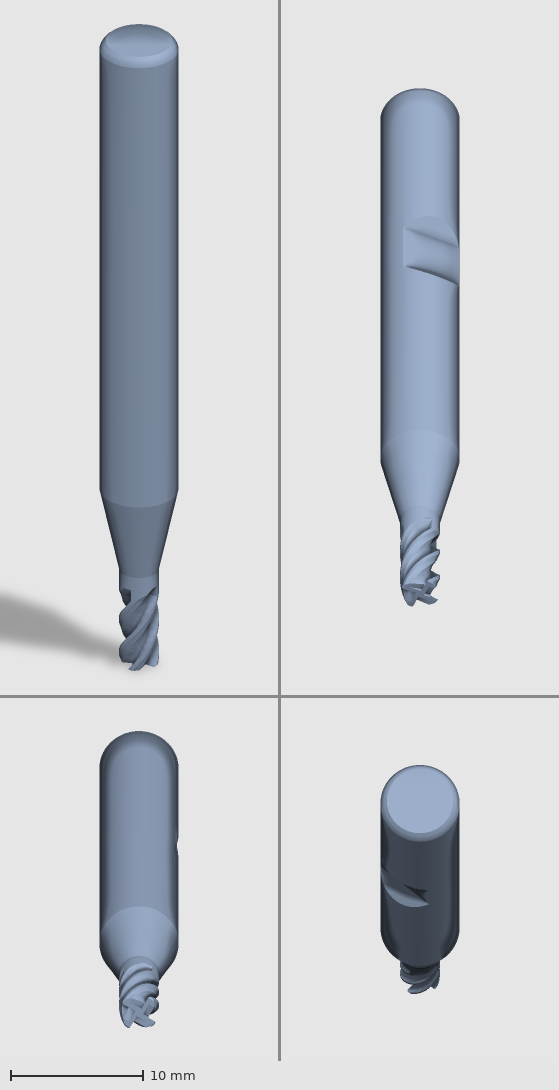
import cadquery as cq
import math

total_length = 54.0
shank_diameter = 6.0
cutter_diameter = 3.0
shank_radius = shank_diameter / 2
cutter_radius = cutter_diameter / 2

cone_bottom = 8.15
cone_top = 15.1
end_rounding_height = 0.7
end_rounding_depth = 0.5
end_rounding_bulge = 0.05

flat_depth = 1.15
flat_length = 4.4
flat_middle = 36.0

flute_count = 4
helix_angle = 40.0
core_radius = 0.85
land_angle = 14.0
relief_angle = 36.0
relief_radius = 1.3
first_edge_angle = -4.0
helix_length = 6.05
runout_height = 0.95
runout_rise = 0.65
corner_chamfer = 0.1

gash_depth = 0.25
gash_width = 0.95
gash_inner_radius = 0.3

flute_pitch_angle = 360 / flute_count
helix_lead = math.pi * cutter_diameter / math.tan(math.radians(helix_angle))
helix_twist = 360 * helix_length / helix_lead


def polar(radius, angle):
    """Point in the XY plane at an angle in degrees."""
    return (radius * math.cos(math.radians(angle)), radius * math.sin(math.radians(angle)))


def make_shank():
    rounding_start = total_length - end_rounding_height
    end_radius = shank_radius - end_rounding_depth
    rounding_middle = (
        (shank_radius + end_radius) / 2 + end_rounding_bulge,
        (rounding_start + total_length) / 2 + end_rounding_bulge,
    )
    body = (
        cq.Workplane("XZ")
        .moveTo(0, cone_bottom)
        .lineTo(cutter_radius, cone_bottom)
        .lineTo(shank_radius, cone_top)
        .lineTo(shank_radius, rounding_start)
        .threePointArc(rounding_middle, (end_radius, total_length))
        .lineTo(0, total_length)
        .close()
        .revolve(360, (0, 0), (0, 1))
    )
    return body.cut(make_clamping_flat())


def make_clamping_flat():
    """Trapezoidal notch; its walls open outward at 45 degrees."""
    floor_y = shank_radius - flat_depth
    outside_y = shank_radius + flat_depth
    half_floor = flat_length / 2
    half_mouth = half_floor + outside_y - floor_y
    profile = [
        (floor_y, flat_middle - half_floor),
        (outside_y, flat_middle - half_mouth),
        (outside_y, flat_middle + half_mouth),
        (floor_y, flat_middle + half_floor),
    ]
    return cq.Workplane("YZ").polyline(profile).close().extrude(shank_radius, both=True)


def flute_section(edge_angle, height):
    """Flute outline: radial cutting face, curved root, and relieved back of the next tooth."""
    outside_radius = 2 * cutter_radius
    next_edge_angle = edge_angle - flute_pitch_angle
    land_end_angle = next_edge_angle + land_angle
    relief_end_angle = next_edge_angle + relief_angle
    root_angle = (edge_angle + relief_end_angle) / 2
    return (
        cq.Workplane("XY", origin=(0, 0, height))
        .moveTo(*polar(outside_radius, edge_angle))
        .lineTo(*polar(core_radius, edge_angle))
        .threePointArc(polar(core_radius, root_angle), polar(relief_radius, relief_end_angle))
        .lineTo(*polar(cutter_radius, land_end_angle))
        .lineTo(*polar(outside_radius, land_end_angle))
        .close()
    )


def make_flute(edge_angle):
    helix = flute_section(edge_angle, 0).twistExtrude(helix_length, helix_twist)
    end_angle = edge_angle + helix_twist
    end_wire = flute_section(end_angle, helix_length).val()
    slide = cq.Vector(*polar(runout_rise, end_angle), runout_height)
    return [helix.val(), cq.Solid.extrudeLinear(end_wire, [], slide)]


def make_gash(edge_angle):
    """Wedge deepest at the cutting face and running out on the end face."""
    return (
        cq.Workplane("YZ", origin=(gash_inner_radius, 0, 0))
        .polyline([(0, 0), (0, gash_depth), (-gash_width, 0)])
        .close()
        .extrude(cutter_radius)
        .rotate((0, 0, 0), (0, 0, 1), edge_angle)
    )


def make_cutter():
    body = cq.Workplane("XY").circle(cutter_radius).extrude(cone_bottom)
    body = body.faces("<Z").chamfer(corner_chamfer)
    for index in range(flute_count):
        edge_angle = first_edge_angle + index * flute_pitch_angle
        for piece in make_flute(edge_angle):
            body = body.cut(cq.Workplane(piece))
        body = body.cut(make_gash(edge_angle))
    return body


shank = make_shank()
cutter = make_cutter()

result = cq.Compound.makeCompound([shank.solids().val(), cutter.solids().val()])